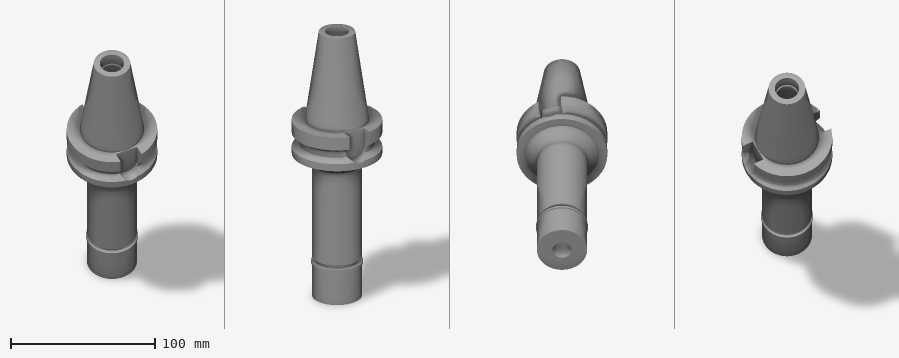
import cadquery as cq

total_length = 200.5
taper_length = 65.3
gauge_z = total_length - taper_length
flange_top_z = gauge_z - 1.5
flange_bottom_z = gauge_z - 27.0
groove_upper_outer_z = gauge_z - 11.2
groove_upper_inner_z = gauge_z - 14.5
groove_lower_inner_z = gauge_z - 18.8
groove_lower_outer_z = gauge_z - 21.6
cone_bottom_z = flange_bottom_z - 8.0
body_bottom_z = 30.0
nut_top_z = 26.9
collar_bottom_z = 25.0
relief_bottom_z = 24.6

gauge_radius = 22.2
taper_slope = 7 / 48
taper_tip_radius = gauge_radius - taper_length * taper_slope
flange_radius = 31.5
groove_radius = 26.5
cone_top_radius = 25.5
body_radius = 17.5
neck_radius = 15.0

draw_bar_radius = 8.5
draw_bar_depth = 9.2
coolant_radius = 7.2

slot_width = 16.2
slot_floor_x = 22.6
slot_bottom_z = gauge_z - 22.8

nut_radius = body_radius
collar_radius = 18.0
relief_radius = 17.2
collet_top_z = 40.0
collet_radius = 11.0
collet_bore_radius = 6.6


def revolve_profile(points):
    """Solid of revolution about Z from (radius, z) points."""
    return cq.Workplane("XZ").polyline(points).close().revolve(360, (0, 0), (0, 1))


def cylinder(radius, bottom_z, top_z):
    return cq.Workplane("XY").workplane(offset=bottom_z).circle(radius).extrude(top_z - bottom_z)


def make_drive_slot(side):
    """Round-bottomed slot cutter, open upwards and outwards, on the +X (1) or -X (-1) side."""
    slot_radius = slot_width / 2
    arc_center_z = slot_bottom_z + slot_radius
    return (
        cq.Workplane("YZ")
        .workplane(offset=side * slot_floor_x)
        .moveTo(-slot_radius, flange_top_z)
        .lineTo(-slot_radius, arc_center_z)
        .threePointArc((0, slot_bottom_z), (slot_radius, arc_center_z))
        .lineTo(slot_radius, flange_top_z)
        .close()
        .extrude(side * flange_radius)
    )


def make_holder():
    """Taper shank, grooved flange, long body and the neck that meets the nut."""
    holder = revolve_profile([
        (0, total_length),
        (taper_tip_radius, total_length),
        (gauge_radius, gauge_z),
        (gauge_radius, flange_top_z),
        (flange_radius, flange_top_z),
        (flange_radius, groove_upper_outer_z),
        (groove_radius, groove_upper_inner_z),
        (groove_radius, groove_lower_inner_z),
        (flange_radius, groove_lower_outer_z),
        (flange_radius, flange_bottom_z),
        (cone_top_radius, flange_bottom_z),
        (body_radius, cone_bottom_z),
        (body_radius, body_bottom_z),
        (neck_radius, body_bottom_z),
        (neck_radius, nut_top_z),
        (0, nut_top_z),
    ])
    for side in (-1, 1):
        holder = holder.cut(make_drive_slot(side))
    holder = holder.cut(cylinder(draw_bar_radius, total_length - draw_bar_depth, total_length))
    holder = holder.cut(cylinder(coolant_radius, nut_top_z, total_length))
    return holder.cut(cylinder(collet_radius, nut_top_z, collet_top_z))


def make_nut():
    """Clamping nut with a thin collar and a fine relief below it."""
    return revolve_profile([
        (collet_radius, nut_top_z),
        (collar_radius, nut_top_z),
        (collar_radius, collar_bottom_z),
        (relief_radius, collar_bottom_z),
        (relief_radius, relief_bottom_z),
        (nut_radius, relief_bottom_z),
        (nut_radius, 0),
        (collet_radius, 0),
    ])


def make_collet():
    """Plain sleeve held inside the nut and the lower end of the holder."""
    return cylinder(collet_radius, 0, collet_top_z).cut(cylinder(collet_bore_radius, 0, collet_top_z))


holder = make_holder()
nut = make_nut()
collet = make_collet()

result = cq.Compound.makeCompound([holder.val(), nut.val(), collet.val()])